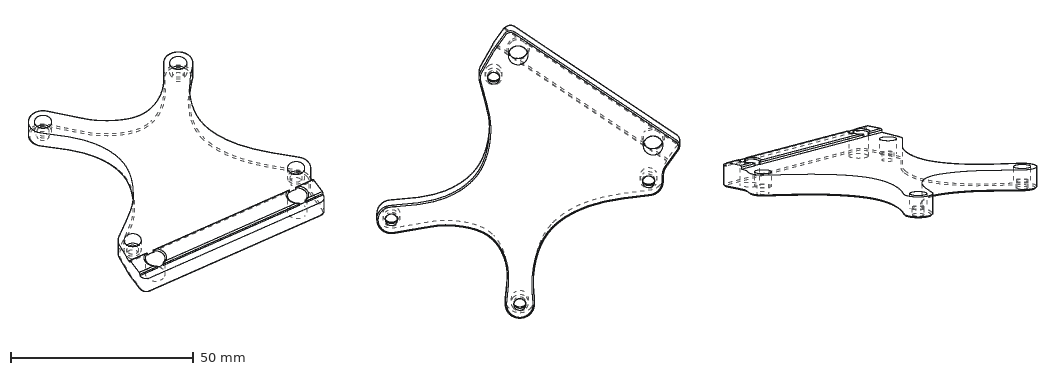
import cadquery as cq
import math

length = 67.2
width = 60.5
total_height = 7.0
plate_thickness = 6.0
bottom_chamfer = 0.4

edge_length = 58.05
corner_radius = 2.0

lobe_radius = 4.0
front_left = ((lobe_radius, 4.7), 136, 320)
front_right = ((53.15, 4.7), 221, 265)
rear_right = ((53.15, width - lobe_radius), 60, 138)
rear_left = ((4.3, 47.4), 50, 242)
lobes = (front_left, front_right, rear_right, rear_left)

front_waist = [(16.1, 11.75), (28.9, 16.4), (40.3, 12.2)]
rear_waist = [(36.3, 45.95), (25.2, 42.25), (13.45, 45.7)]
left_waist = [(11.55, 37.6), (15.25, 28.9), (11.6, 18.8)]

screw_hole_diameter = 3.3
counterbore_diameter = 4.7
counterbore_depth = 4.0

rail_width = 5.7
rail_right = length - corner_radius
rail_left = rail_right - rail_width
rail_height = total_height - plate_thickness
rail_chamfer = 0.4

rail_hole_diameter = 5.4
rail_hole_chamfer = 0.4
rail_notch_width = 2.0
rail_hole_inset = 6.5
rail_hole_x = rail_right - rail_width / 2
rail_hole_ys = (rail_hole_inset, edge_length - rail_hole_inset)


def direction(angle):
    """Unit vector pointing at an angle in degrees."""
    return (math.cos(math.radians(angle)), math.sin(math.radians(angle)))


def rim_point(lobe, angle):
    """Point on the rim of a lobe at an angle in degrees."""
    (center_x, center_y), _, _ = lobe
    x, y = direction(angle)
    return (center_x + lobe_radius * x, center_y + lobe_radius * y)


def rim_heading(angle):
    """Direction of travel along a counter-clockwise rim at an angle in degrees."""
    return direction(angle + 90)


def add_lobe(outline, lobe):
    """Continue the outline around the rim of a lobe."""
    _, start, end = lobe
    return outline.threePointArc(rim_point(lobe, (start + end) / 2), rim_point(lobe, end))


def add_waist(outline, points, lobe_before, lobe_after):
    """Continue the outline along a smooth curve, tangent to the lobes at both ends."""
    _, _, leave_angle = lobe_before
    _, arrive_angle, _ = lobe_after
    return outline.spline(
        points + [rim_point(lobe_after, arrive_angle)],
        tangents=[rim_heading(leave_angle), rim_heading(arrive_angle)],
        includeCurrent=True,
    )


def add_right_edge(outline):
    """Continue the outline along the straight right-hand edge and into the rear-right lobe."""
    _, lobe_start, _ = rear_right
    toward_left = direction(180)
    return (
        outline.lineTo(rail_left, 0)
        .lineTo(rail_right, 0)
        .radiusArc((length, corner_radius), -corner_radius)
        .lineTo(length, edge_length - corner_radius)
        .radiusArc((rail_right, edge_length), -corner_radius)
        .lineTo(rail_left, edge_length)
        .spline(
            [rim_point(rear_right, lobe_start)],
            tangents=[toward_left, rim_heading(lobe_start)],
            includeCurrent=True,
        )
    )


def make_plate():
    """Four-armed plate with a chamfered bottom edge."""
    _, first_angle, _ = front_left
    outline = cq.Workplane("XY").moveTo(*rim_point(front_left, first_angle))
    outline = add_lobe(outline, front_left)
    outline = add_waist(outline, front_waist, front_left, front_right)
    outline = add_lobe(outline, front_right)
    outline = add_right_edge(outline)
    outline = add_lobe(outline, rear_right)
    outline = add_waist(outline, rear_waist, rear_right, rear_left)
    outline = add_lobe(outline, rear_left)
    outline = add_waist(outline, left_waist, rear_left, front_left)
    plate = outline.close().extrude(plate_thickness)
    return plate.faces("<Z").edges().chamfer(bottom_chamfer)


def make_rail():
    """Raised rail with both long top edges chamfered."""
    rail = cq.Workplane("XY").box(rail_width, edge_length, rail_height, centered=False)
    rail = rail.faces(">Z").edges("|Y").chamfer(rail_chamfer)
    return rail.translate((rail_left, 0, plate_thickness))


def make_screw_hole_cutter():
    """Through hole with a counterbore from the top of the plate."""
    through = cq.Workplane("XY").circle(screw_hole_diameter / 2).extrude(plate_thickness)
    counterbore = (
        cq.Workplane("XY", origin=(0, 0, plate_thickness))
        .circle(counterbore_diameter / 2)
        .extrude(-counterbore_depth)
    )
    return through.union(counterbore)


def make_rail_hole_cutter():
    """Through hole, chamfered at the rail top, with a gap across the full rail width."""
    radius = rail_hole_diameter / 2
    through = cq.Workplane("XY").circle(radius).extrude(total_height)
    chamfer = (
        cq.Workplane("XY", origin=(0, 0, total_height))
        .circle(radius + rail_hole_chamfer)
        .workplane(offset=-rail_hole_chamfer)
        .circle(radius)
        .loft()
    )
    notch = cq.Workplane("XY", origin=(0, 0, plate_thickness)).box(
        rail_width, rail_notch_width, rail_height, centered=(True, True, False)
    )
    return through.union(chamfer).union(notch)


result = make_plate().union(make_rail())

for (lobe_x, lobe_y), _, _ in lobes:
    result = result.cut(make_screw_hole_cutter().translate((lobe_x, lobe_y, 0)))

for rail_hole_y in rail_hole_ys:
    result = result.cut(make_rail_hole_cutter().translate((rail_hole_x, rail_hole_y, 0)))